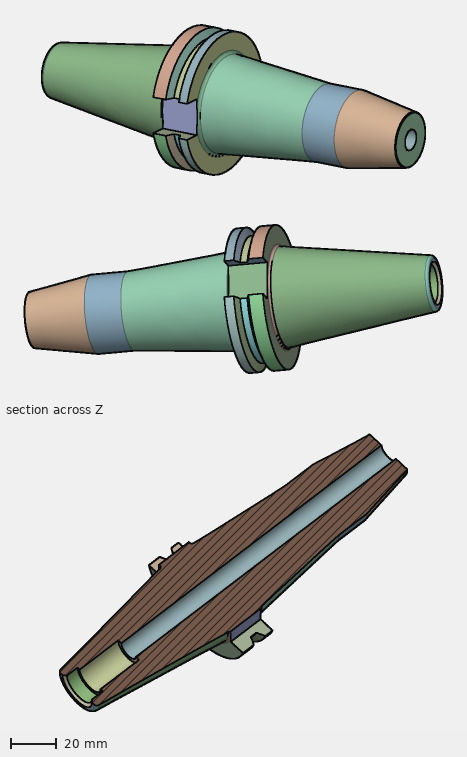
import cadquery as cq
import math


OVERALL_LENGTH = 182.63
TAPER_LENGTH = 68.3
NOSE_END = OVERALL_LENGTH - TAPER_LENGTH
SMALL_END = -TAPER_LENGTH

GAUGE_RADIUS = 44.45 / 2
TAPER_RATE = 7 / 24
SMALL_END_RADIUS = GAUGE_RADIUS - TAPER_LENGTH * TAPER_RATE / 2
SMALL_END_ROUND = 1.6

FLANGE_RADIUS = 63.34 / 2
FLANGE_BACK = 1.2
FLANGE_FRONT = 18.65
FLANGE_BACK_FILLET = 1.15
FLANGE_FRONT_FILLET = 1.5
GROOVE_RADIUS = 55.8 / 2
GROOVE_CENTER = 11.0
GROOVE_FLOOR_WIDTH = 3.2
GROOVE_WALL_ANGLE = 25

SLOT_WIDTH = 16.52
PLUS_Y_SLOT_FLOOR = 23.9
MINUS_Y_SLOT_FLOOR = 22.7

COLLAR_RADIUS = 34.8 / 2
COLLAR_START = 69.3
COLLAR_END = 85.8
NOSE_ANGLE = 10
NOSE_RADIUS = COLLAR_RADIUS - (NOSE_END - COLLAR_END) * math.tan(math.radians(NOSE_ANGLE))
NOSE_CHAMFER = 0.3

MOUTH_RADIUS = 19.0 / 2
PILOT_RADIUS = 16.26 / 2
MOUTH_CHAMFER_DEPTH = 1.3
PILOT_DEPTH = 7.5
THREAD_RADIUS = 13.39 / 2
THREAD_DEPTH = 30.0
COOLANT_RADIUS = 9.27 / 2

EDGE_MARGIN = 0.01


def revolve_about_x(profile):
    """Turn a closed profile, drawn as (axial, radial) points, about the X axis."""
    return profile.close().revolve(360, (0, 0, 0), (1, 0, 0))


def ring_edge(position, radius):
    """Select the circular edge of the given radius at an axial position."""
    reach = radius + EDGE_MARGIN
    return cq.selectors.BoxSelector(
        (position - EDGE_MARGIN, -reach, -reach), (position + EDGE_MARGIN, reach, reach), boundingbox=True
    )


def make_body():
    groove_rise = FLANGE_RADIUS - GROOVE_RADIUS
    floor_half = GROOVE_FLOOR_WIDTH / 2
    rim_half = floor_half + groove_rise * math.tan(math.radians(GROOVE_WALL_ANGLE))
    profile = (
        cq.Workplane("XZ")
        .moveTo(SMALL_END, 0)
        .lineTo(SMALL_END, SMALL_END_RADIUS)
        .lineTo(0, GAUGE_RADIUS)
        .lineTo(FLANGE_BACK, GAUGE_RADIUS)
        .lineTo(FLANGE_BACK, FLANGE_RADIUS)
        .lineTo(GROOVE_CENTER - rim_half, FLANGE_RADIUS)
        .lineTo(GROOVE_CENTER - floor_half, GROOVE_RADIUS)
        .lineTo(GROOVE_CENTER + floor_half, GROOVE_RADIUS)
        .lineTo(GROOVE_CENTER + rim_half, FLANGE_RADIUS)
        .lineTo(FLANGE_FRONT, FLANGE_RADIUS)
        .lineTo(FLANGE_FRONT, GAUGE_RADIUS)
        .lineTo(COLLAR_START, COLLAR_RADIUS)
        .lineTo(COLLAR_END, COLLAR_RADIUS)
        .lineTo(NOSE_END, NOSE_RADIUS)
        .lineTo(NOSE_END, 0)
    )
    body = revolve_about_x(profile)
    body = body.edges(ring_edge(SMALL_END, SMALL_END_RADIUS)).fillet(SMALL_END_ROUND)
    body = body.edges(ring_edge(NOSE_END, NOSE_RADIUS)).chamfer(NOSE_CHAMFER)
    body = body.edges(ring_edge(FLANGE_BACK, GAUGE_RADIUS)).fillet(FLANGE_BACK_FILLET)
    return body.edges(ring_edge(FLANGE_FRONT, GAUGE_RADIUS)).fillet(FLANGE_FRONT_FILLET)


def make_bore():
    pilot_end = SMALL_END + PILOT_DEPTH
    thread_end = SMALL_END + THREAD_DEPTH
    profile = (
        cq.Workplane("XZ")
        .moveTo(SMALL_END, 0)
        .lineTo(SMALL_END, MOUTH_RADIUS)
        .lineTo(SMALL_END + MOUTH_CHAMFER_DEPTH, PILOT_RADIUS)
        .lineTo(pilot_end, PILOT_RADIUS)
        .lineTo(pilot_end, THREAD_RADIUS)
        .lineTo(thread_end, THREAD_RADIUS)
        .lineTo(thread_end, COOLANT_RADIUS)
        .lineTo(NOSE_END, COOLANT_RADIUS)
        .lineTo(NOSE_END, 0)
    )
    return revolve_about_x(profile)


def make_drive_slot(side, floor):
    """Slot across the flange and its fillets on the +Y (side = 1) or -Y (side = -1) side."""
    slot_length = FLANGE_FRONT + FLANGE_FRONT_FILLET
    depth = FLANGE_RADIUS - floor
    slot = cq.Workplane("XY").box(slot_length, depth, SLOT_WIDTH)
    return slot.translate((slot_length / 2, side * (floor + depth / 2), 0))


result = (
    make_body()
    .cut(make_bore())
    .cut(make_drive_slot(1, PLUS_Y_SLOT_FLOOR))
    .cut(make_drive_slot(-1, MINUS_Y_SLOT_FLOOR))
)